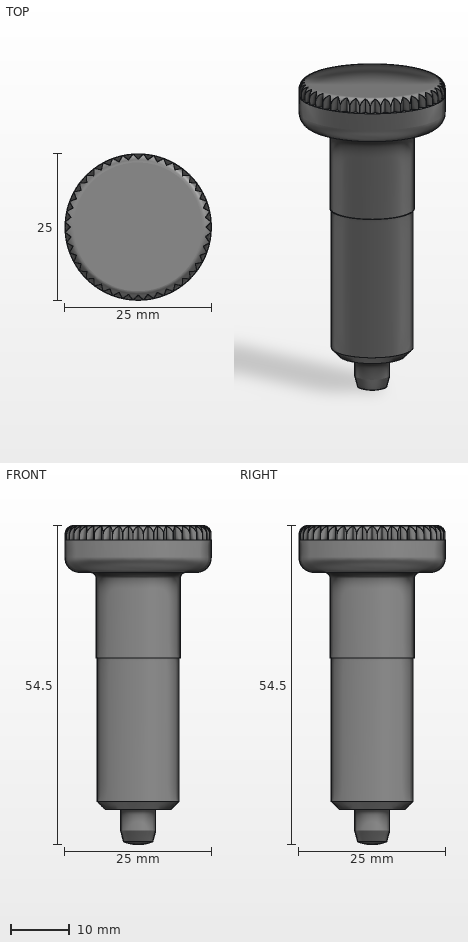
import cadquery as cq
import math

body_length = 25.9
neck_length = 14.6
knob_height = 8.0
pin_protrusion = 6.0

knob_bottom = body_length + neck_length
knob_top = knob_bottom + knob_height
pin_end = -pin_protrusion

knob_radius = 12.5
knob_top_fillet = 1.5
knob_bottom_fillet = 2.5
neck_radius = 7.2
neck_fillet = 1.0

groove_count = 44
groove_height = 2.5
groove_depth = 0.9
groove_overrun = 0.5

pin_radius = 3.0
pin_tip_radius = 2.5
taper_length = 1.9
dome_height = 0.5
taper_bottom = pin_end + dome_height
taper_top = taper_bottom + taper_length

body_radius = 7.0
body_chamfer = 1.4


def make_plunger_blank():
    """Knob, neck and pin turned as one piece, before the knurl is cut."""
    dome_radius = (pin_tip_radius**2 + dome_height**2) / (2 * dome_height)
    dome_half_angle = math.asin(pin_tip_radius / dome_radius) / 2
    dome_midpoint = (
        -dome_radius * math.sin(dome_half_angle),
        pin_end + dome_radius * (1 - math.cos(dome_half_angle)),
    )
    return (
        cq.Workplane("XZ")
        .moveTo(0, pin_end)
        .lineTo(0, knob_top)
        .lineTo(-(knob_radius - knob_top_fillet), knob_top)
        .tangentArcPoint((-knob_top_fillet, -knob_top_fillet))
        .lineTo(-knob_radius, knob_bottom + knob_bottom_fillet)
        .tangentArcPoint((knob_bottom_fillet, -knob_bottom_fillet))
        .lineTo(-(neck_radius + neck_fillet), knob_bottom)
        .tangentArcPoint((neck_fillet, -neck_fillet))
        .lineTo(-neck_radius, body_length)
        .lineTo(-pin_radius, body_length)
        .lineTo(-pin_radius, taper_top)
        .lineTo(-pin_tip_radius, taper_bottom)
        .threePointArc(dome_midpoint, (0, pin_end))
        .close()
        .revolve(360, (0, 0), (0, 1))
    )


def make_knurl_grooves():
    """Ring of 90 degree V prisms, with the V pointing at the axis."""
    root_radius = knob_radius - groove_depth
    half_width = groove_depth + groove_overrun
    groove = (
        cq.Workplane("XY", origin=(0, 0, knob_top - groove_height))
        .moveTo(root_radius, 0)
        .lineTo(root_radius + half_width, half_width)
        .lineTo(root_radius + half_width, -half_width)
        .close()
        .extrude(groove_height)
    )
    pitch_angle = 360 / groove_count
    return [groove.rotate((0, 0, 0), (0, 0, 1), i * pitch_angle) for i in range(groove_count)]


def make_plunger():
    """Turned blank with the knurl cut into the knob rim."""
    plunger = make_plunger_blank()
    for groove in make_knurl_grooves():
        plunger = plunger.cut(groove)
    return plunger


def make_guide_body():
    """Sleeve around the pin, chamfered at its lower end."""
    return (
        cq.Workplane("XZ")
        .moveTo(-pin_radius, 0)
        .lineTo(-(body_radius - body_chamfer), 0)
        .lineTo(-body_radius, body_chamfer)
        .lineTo(-body_radius, body_length)
        .lineTo(-pin_radius, body_length)
        .close()
        .revolve(360, (0, 0), (0, 1))
    )


plunger = make_plunger()
guide_body = make_guide_body()
result = cq.Compound.makeCompound([plunger.val(), guide_body.val()])